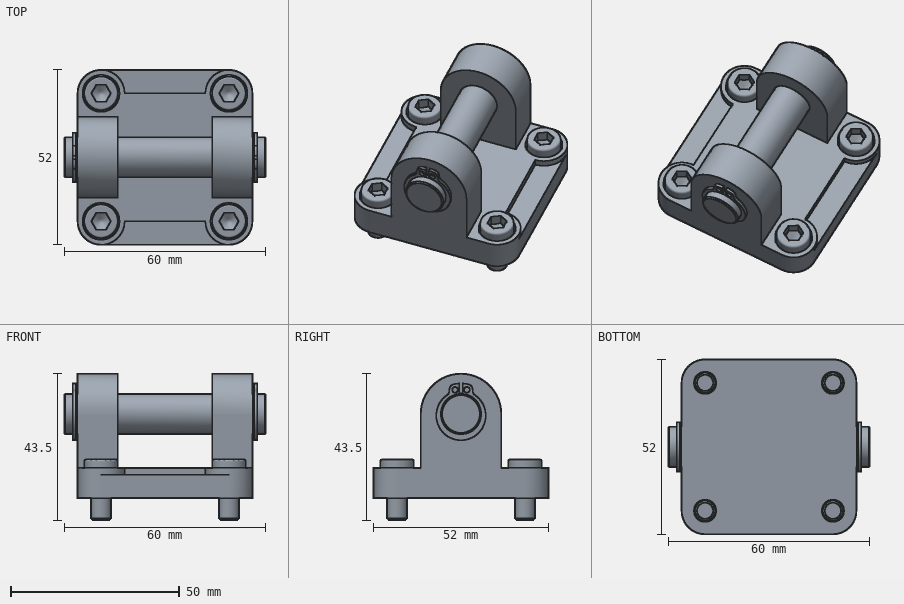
import cadquery as cq
import math

PLATE_SIDE = 52.0
PLATE_THICKNESS = 9.0
CORNER_RADIUS = 7.0
STEP_DEPTH = 2.0
SCREW_OFFSET = PLATE_SIDE / 2 - CORNER_RADIUS

EAR_THICKNESS = 12.0
EAR_RADIUS = 12.0
PIN_HEIGHT = 25.0
EAR_OUTER_X = PLATE_SIDE / 2

PIN_DIAMETER = 12.0
PIN_LENGTH = 60.0
PIN_CHAMFER = 0.4

RING_THICKNESS = 1.0
RING_GAP = 0.45
RING_RADIUS = 7.35
RING_DROP = 0.45
LUG_TOP_RADIUS = 9.1
LUG_RADIUS = 1.7
LUG_HOLE_DIAMETER = 1.7
LUG_HALF_SPACING = 1.75
LUG_FILLET = 1.65
RING_SLOT_WIDTH = 1.0
RING_SLOT_FLOOR = 6.15

SCREW_DIAMETER = 6.0
SCREW_LENGTH = 12.0
HEAD_DIAMETER = 10.0
HEAD_HEIGHT = 6.0
HEAD_FILLET = 0.6
TIP_CHAMFER = 0.6
SOCKET_ACROSS_FLATS = 5.0
SOCKET_DEPTH = 3.0
SOCKET_TIP_ANGLE = 120.0
CLEARANCE_DIAMETER = 6.6
COUNTERBORE_DIAMETER = 11.0
COUNTERBORE_FLOOR_Z = 5.5

SIDES = (-1, 1)
SCREW_POINTS = [(sx * SCREW_OFFSET, sy * SCREW_OFFSET) for sx in SIDES for sy in SIDES]


def base_plate():
    """Square plate with rounded corners."""
    return (
        cq.Workplane("XY")
        .rect(PLATE_SIDE, PLATE_SIDE)
        .extrude(PLATE_THICKNESS)
        .edges("|Z")
        .fillet(CORNER_RADIUS)
    )


def lower_y_edges(plate):
    """Step down both Y edges of the plate, leaving round pads around the screws."""
    step_floor = cq.Workplane("XY", origin=(0, 0, PLATE_THICKNESS - STEP_DEPTH))
    step_y = SCREW_OFFSET + CORNER_RADIUS / 2
    steps = (
        step_floor.pushPoints([(0, -step_y), (0, step_y)])
        .rect(2 * SCREW_OFFSET, CORNER_RADIUS)
        .extrude(STEP_DEPTH)
    )
    pads = step_floor.pushPoints(SCREW_POINTS).circle(CORNER_RADIUS).extrude(STEP_DEPTH)
    return plate.cut(steps.cut(pads))


def drill_screw_holes(plate):
    """Counterbored clearance hole at each corner."""
    through_holes = (
        cq.Workplane("XY")
        .pushPoints(SCREW_POINTS)
        .circle(CLEARANCE_DIAMETER / 2)
        .extrude(PLATE_THICKNESS)
    )
    counterbores = (
        cq.Workplane("XY", origin=(0, 0, COUNTERBORE_FLOOR_Z))
        .pushPoints(SCREW_POINTS)
        .circle(COUNTERBORE_DIAMETER / 2)
        .extrude(PLATE_THICKNESS - COUNTERBORE_FLOOR_Z)
    )
    return plate.cut(through_holes).cut(counterbores)


def ears():
    """Two uprights with round tops, each flush with an X edge of the plate."""
    block = (
        cq.Workplane("YZ", origin=(-EAR_OUTER_X, 0, 0))
        .moveTo(-EAR_RADIUS, PLATE_THICKNESS)
        .lineTo(EAR_RADIUS, PLATE_THICKNESS)
        .lineTo(EAR_RADIUS, PIN_HEIGHT)
        .threePointArc((0, PIN_HEIGHT + EAR_RADIUS), (-EAR_RADIUS, PIN_HEIGHT))
        .close()
        .extrude(2 * EAR_OUTER_X)
    )
    space_between = cq.Workplane("XY").box(
        2 * (EAR_OUTER_X - EAR_THICKNESS),
        2 * EAR_RADIUS,
        2 * (PIN_HEIGHT + EAR_RADIUS),
    )
    return block.cut(space_between)


def pin():
    """Plain cylinder along X with chamfered ends."""
    return (
        cq.Workplane("YZ", origin=(-PIN_LENGTH / 2, 0, PIN_HEIGHT))
        .circle(PIN_DIAMETER / 2)
        .extrude(PIN_LENGTH)
        .faces("<X or >X")
        .chamfer(PIN_CHAMFER)
    )


def point_towards(start, target, distance):
    """Point at the given distance from start on the line to target."""
    span = math.dist(start, target)
    return tuple(s + (t - s) * distance / span for s, t in zip(start, target))


def right_hand_crossing(low_centre, low_radius, high_centre, high_radius):
    """Crossing of two circles that lies to the right of the line from low to high centre."""
    span = math.dist(low_centre, high_centre)
    along = (low_radius**2 - high_radius**2 + span**2) / (2 * span)
    aside = math.sqrt(low_radius**2 - along**2)
    unit_y = (high_centre[0] - low_centre[0]) / span
    unit_z = (high_centre[1] - low_centre[1]) / span
    return (
        low_centre[0] + along * unit_y + aside * unit_z,
        low_centre[1] + along * unit_z - aside * unit_y,
    )


def mirrored(point):
    return (-point[0], point[1])


def retaining_ring():
    """Ring on the +X side: eccentric rim, two drilled lugs at the top and a slot between them."""
    axis = (0.0, 0.0)
    rim_centre = (0.0, -RING_DROP)
    lug_distance = LUG_TOP_RADIUS - LUG_RADIUS
    lug = (LUG_HALF_SPACING, math.sqrt(lug_distance**2 - LUG_HALF_SPACING**2))
    blend = right_hand_crossing(rim_centre, RING_RADIUS + LUG_FILLET, lug, LUG_RADIUS + LUG_FILLET)

    rim_end = point_towards(rim_centre, blend, RING_RADIUS)
    lug_start = point_towards(lug, blend, LUG_RADIUS)
    lug_end = point_towards(axis, lug, LUG_TOP_RADIUS)
    blend_chord_middle = ((rim_end[0] + lug_start[0]) / 2, (rim_end[1] + lug_start[1]) / 2)
    blend_middle = point_towards(blend, blend_chord_middle, LUG_FILLET)
    lug_chord_middle = ((lug_start[0] + lug_end[0]) / 2, (lug_start[1] + lug_end[1]) / 2)
    lug_middle = point_towards(lug, lug_chord_middle, LUG_RADIUS)

    ring_plane = cq.Workplane("YZ", origin=(EAR_OUTER_X + RING_GAP, 0, PIN_HEIGHT))
    body = (
        ring_plane.moveTo(*rim_end)
        .threePointArc(blend_middle, lug_start)
        .threePointArc(lug_middle, lug_end)
        .threePointArc((0, LUG_TOP_RADIUS), mirrored(lug_end))
        .threePointArc(mirrored(lug_middle), mirrored(lug_start))
        .threePointArc(mirrored(blend_middle), mirrored(rim_end))
        .threePointArc((0, -RING_DROP - RING_RADIUS), rim_end)
        .close()
        .extrude(RING_THICKNESS)
    )
    lug_holes = (
        ring_plane.pushPoints([lug, mirrored(lug)])
        .circle(LUG_HOLE_DIAMETER / 2)
        .extrude(RING_THICKNESS)
    )
    slot = (
        ring_plane.center(0, (RING_SLOT_FLOOR + LUG_TOP_RADIUS) / 2)
        .rect(RING_SLOT_WIDTH, LUG_TOP_RADIUS - RING_SLOT_FLOOR)
        .extrude(RING_THICKNESS)
    )
    return body.cut(lug_holes).cut(slot)


def screw():
    """Socket head screw on the Z axis, its head resting on the counterbore floor."""
    head_top_z = COUNTERBORE_FLOOR_Z + HEAD_HEIGHT
    head = (
        cq.Workplane("XY", origin=(0, 0, COUNTERBORE_FLOOR_Z))
        .circle(HEAD_DIAMETER / 2)
        .extrude(HEAD_HEIGHT)
        .faces(">Z")
        .edges()
        .fillet(HEAD_FILLET)
    )
    shank = (
        cq.Workplane("XY", origin=(0, 0, COUNTERBORE_FLOOR_Z))
        .circle(SCREW_DIAMETER / 2)
        .extrude(-SCREW_LENGTH)
        .faces("<Z")
        .chamfer(TIP_CHAMFER)
    )
    return head.union(shank).cut(hex_socket(head_top_z))


def hex_socket(top_z):
    """Hexagonal recess, corners on X, closed by a cone that spans the whole hexagon."""
    corner_radius = SOCKET_ACROSS_FLATS / math.sqrt(3)
    cone_depth = corner_radius / math.tan(math.radians(SOCKET_TIP_ANGLE / 2))
    hexagon = (
        cq.Workplane("XY", origin=(0, 0, top_z))
        .polygon(6, 2 * corner_radius)
        .extrude(-(SOCKET_DEPTH + cone_depth))
    )
    pointed_rod = (
        cq.Workplane("XZ")
        .moveTo(0, top_z)
        .lineTo(corner_radius, top_z)
        .lineTo(corner_radius, top_z - SOCKET_DEPTH)
        .lineTo(0, top_z - SOCKET_DEPTH - cone_depth)
        .close()
        .revolve(360, (0, 0, 0), (0, 1, 0))
    )
    return hexagon.intersect(pointed_rod)


bracket = base_plate().union(ears())
bracket = drill_screw_holes(lower_y_edges(bracket))

ring = retaining_ring()
result = bracket.union(pin()).union(ring).union(ring.mirror("YZ"))
for x, y in SCREW_POINTS:
    result = result.union(screw().translate((x, y, 0)))